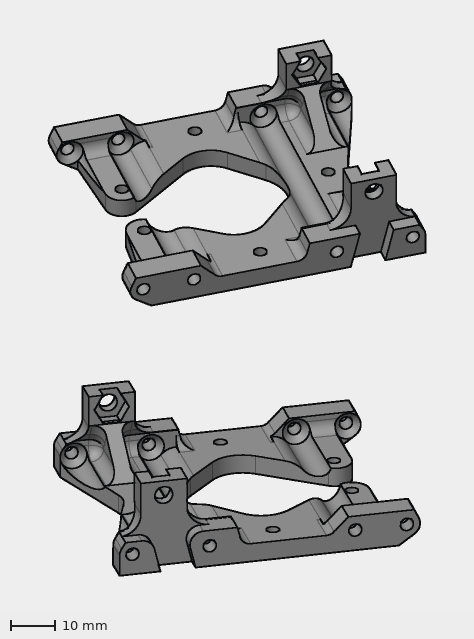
import cadquery as cq
import math

length = 70.0
width = 60.0
half_width = width / 2
height = 20.85
plate_top = 4.5
margin = 0.7

pin_z = 5.05
pin_hole_d = 3.0
nose_pin_y = 3.1
front_pin_y = 15.1
middle_pin_y = 49.0
rear_pin_y = 67.0
tower_pin_y = 58.85
tower_pin_z = 17.35
tower_hole_d = 4.1
pin_groove_r = 3.15

wall_inner = 23.9
wall_fillet = 2.8
lean_start_z = 8.7
lean_bend = (22.25, 10.8)
front_rail_top = 8.55
front_rail_top_rear = 16.7
rail_top = 8.9
rail_top_front = 42.55
rail_foot_front = 41.4
rail_end_fillet = 2.5
nose_top_front = 1.3
nose_bottom_front = 5.0
groove_blend_r = 5.0

recess_floor = 26.65
recess_front_foot = 52.3
recess_front_top = 54.45
recess_rear_foot = 60.45
recess_rear_top = 62.4
recess_corner_r = 3.1
tab_top = 8.1
tab_top_rear = 68.6

tower_front = 53.4
tower_rear = 64.2
tower_inner = 20.8
tower_flare_r = 5.0
rib_front = 56.9
rib_rear = 60.75
rib_foot = 7.85
rib_top_z = 13.6
nut_flats = 7.0
nut_lip_end = 21.3

opening_apex = (0.0, 51.15)
opening_side = (18.75, 32.4)
prong_tip = (0.55, 6.8)
prong_root = (wall_inner, 5.05)
opening_apex_r = 10.0
opening_side_r = 8.0
prong_tip_r = 4.0
rear_notch_apex_y = 61.1
rear_notch_r = 7.0
plate_holes = [(0.0, 56.6), (-wall_inner, 32.75), (wall_inner, 32.75), (-8.2, 10.35), (8.2, 10.35)]


def prism_y(points, y_from, y_to):
    """Polygon of (x, z) points extruded along Y."""
    plane = cq.Plane(origin=(0, y_from, 0), xDir=(1, 0, 0), normal=(0, -1, 0))
    return cq.Workplane(plane).polyline(points).close().extrude(y_from - y_to)


def mirrored_points(points):
    """Close an outline from its +X half by adding the mirrored points in reverse order."""
    left = [(-x, v) for x, v in reversed(points) if x > 0]
    return points + left


def rod_x(y, z, radius, half_length):
    """Cylinder along X, centred on the centre plane."""
    return cq.Workplane("YZ").center(y, z).circle(radius).extrude(half_length, both=True)


def fillet_at(body, radius, *points):
    """Round the edge nearest to each of the given points."""
    for point in points:
        body = body.edges(cq.selectors.NearestToPointSelector(point)).fillet(radius)
    return body


def tangent_point(centre, radius, outside, side):
    """Touching point of a line from an outside point to a circle; side is +1 or -1."""
    dy = outside[0] - centre[0]
    dz = outside[1] - centre[1]
    angle = math.atan2(dz, dy) + side * math.acos(radius / math.hypot(dy, dz))
    return (centre[0] + radius * math.cos(angle), centre[1] + radius * math.sin(angle))


def rail_block(x_from, x_to):
    """Low wall from the nose to the recess: raised front, low middle, raised rear."""
    nose_centre = (nose_pin_y, pin_z)
    upper = tangent_point(nose_centre, nose_pin_y, (nose_top_front, front_rail_top), 1)
    lower = tangent_point(nose_centre, nose_pin_y, (nose_bottom_front, 0), -1)
    ramp_foot = front_rail_top_rear + front_rail_top - plate_top
    block = (
        cq.Workplane("YZ").workplane(offset=x_from)
        .moveTo(nose_bottom_front, 0)
        .lineTo(*lower)
        .threePointArc((0, pin_z), upper)
        .lineTo(nose_top_front, front_rail_top)
        .lineTo(front_rail_top_rear, front_rail_top)
        .lineTo(ramp_foot, plate_top)
        .lineTo(rail_foot_front, plate_top)
        .lineTo(rail_top_front, rail_top)
        .lineTo(recess_front_top, rail_top)
        .lineTo(recess_front_foot, 0)
        .close()
        .extrude(x_to - x_from)
    )
    middle = (x_from + x_to) / 2
    return fillet_at(
        block, rail_end_fillet, (middle, ramp_foot, plate_top), (middle, rail_foot_front, plate_top)
    )


def rear_tab(x_from, x_to):
    """Wall piece behind the recess with its upper rear corner rounded about the rear pin."""
    round_centre = (rear_pin_y, pin_z)
    upper = tangent_point(round_centre, length - rear_pin_y, (tab_top_rear, tab_top), -1)
    half_angle = math.atan2(upper[1] - pin_z, upper[0] - rear_pin_y) / 2
    arc_middle = (
        rear_pin_y + (length - rear_pin_y) * math.cos(half_angle),
        pin_z + (length - rear_pin_y) * math.sin(half_angle),
    )
    return (
        cq.Workplane("YZ").workplane(offset=x_from)
        .moveTo(recess_rear_foot, 0)
        .lineTo(length, 0)
        .lineTo(length, pin_z)
        .threePointArc(arc_middle, upper)
        .lineTo(tab_top_rear, tab_top)
        .lineTo(recess_rear_top, tab_top)
        .close()
        .extrude(x_to - x_from)
    )


def tower_block():
    """Tower with concave flares running out on the rail in front and on the tab behind."""
    front_centre = (tower_front - tower_flare_r, rail_top + tower_flare_r)
    rear_centre = (tower_rear + tower_flare_r, tab_top + tower_flare_r)
    rear_end_angle = -math.acos((tab_top_rear - rear_centre[0]) / tower_flare_r)
    rear_middle_angle = (rear_end_angle - math.pi) / 2

    def on_flare(centre, angle):
        return (centre[0] + tower_flare_r * math.cos(angle), centre[1] + tower_flare_r * math.sin(angle))

    return (
        cq.Workplane("YZ")
        .moveTo(front_centre[0], 0)
        .lineTo(front_centre[0], rail_top)
        .threePointArc(on_flare(front_centre, -math.pi / 4), (tower_front, front_centre[1]))
        .lineTo(tower_front, height)
        .lineTo(tower_rear, height)
        .lineTo(tower_rear, rear_centre[1])
        .threePointArc(on_flare(rear_centre, rear_middle_angle), on_flare(rear_centre, rear_end_angle))
        .lineTo(tab_top_rear, 0)
        .close()
        .extrude(recess_floor, both=True)
    )


def outer_wall(side):
    """Rail and tab outboard of the recess floor; side is -1 or +1."""
    x_from, x_to = sorted((side * recess_floor, side * half_width))
    rail = rail_block(x_from, x_to)
    tab = rear_tab(x_from, x_to)
    if side < 0:
        middle = (x_from + x_to) / 2
        rail = fillet_at(rail, recess_corner_r, (middle, recess_front_top, rail_top))
        tab = fillet_at(tab, recess_corner_r, (middle, recess_rear_top, tab_top))
    return rail.union(tab)


body = rail_block(-recess_floor, recess_floor)
body = body.union(rear_tab(-recess_floor, recess_floor)).union(tower_block())
for side in (-1, 1):
    body = body.union(outer_wall(side))


lean = (lean_bend[0] - tower_inner) / (rib_top_z - lean_bend[1])


def hollow(rib_face, far_end):
    """Space above the plate on one side of the ribs, rounded along the floor and the rib face."""
    top_x = lean_bend[0] - lean * (height - lean_bend[1])
    outline = mirrored_points(
        [(wall_inner, plate_top), (wall_inner, lean_start_z), lean_bend, (top_x, height)]
    )
    space = prism_y(outline, min(rib_face, far_end), max(rib_face, far_end))
    rib_side = ">Y" if rib_face > far_end else "<Y"
    floor_edges = space.edges("|Y").edges("<Z")
    rib_edges = space.faces(rib_side).edges("not >Z")
    return space.newObject(floor_edges.vals() + rib_edges.vals()).fillet(wall_fillet)


above_ribs = prism_y(
    mirrored_points([(rib_foot, plate_top), (tower_inner, rib_top_z), (tower_inner, height)]),
    -margin, length + margin,
)
body = body.cut(hollow(rib_front, -margin)).cut(hollow(rib_rear, length + margin)).cut(above_ribs)


def groove_blend(pin_y, direction):
    """Rounded run-out from the plate into a pin groove, towards +Y or -Y by direction."""
    reach = pin_groove_r + groove_blend_r
    drop = groove_blend_r + pin_z - plate_top
    run = math.sqrt(reach**2 - drop**2)
    centre = (pin_y + direction * run, plate_top - groove_blend_r)
    share = pin_groove_r / reach
    groove_end = (pin_y + direction * run * share, pin_z - drop * share)
    half_angle = (math.pi / 2 - math.asin(drop / reach)) / 2
    arc_middle = (
        centre[0] - direction * groove_blend_r * math.sin(half_angle),
        centre[1] + groove_blend_r * math.cos(half_angle),
    )
    blend_top = plate_top + wall_fillet
    return (
        cq.Workplane("YZ")
        .moveTo(centre[0], plate_top)
        .threePointArc(arc_middle, groove_end)
        .lineTo(groove_end[0], blend_top)
        .lineTo(centre[0], blend_top)
        .close()
        .extrude(wall_inner, both=True)
    )


body = body.cut(groove_blend(middle_pin_y, -1)).cut(groove_blend(front_pin_y, 1))

countersink_depth = pin_groove_r - pin_hole_d / 2
for pin_y in (nose_pin_y, front_pin_y, middle_pin_y, rear_pin_y):
    body = body.cut(rod_x(pin_y, pin_z, pin_groove_r, wall_inner))
    body = body.cut(rod_x(pin_y, pin_z, pin_hole_d / 2, half_width + margin))
    for side in (-1, 1):
        cone = cq.Solid.makeCone(
            pin_groove_r, pin_hole_d / 2, countersink_depth,
            pnt=cq.Vector(side * wall_inner, pin_y, pin_z), dir=cq.Vector(side, 0, 0),
        )
        body = body.cut(cq.Workplane(cone))

nut_corners_d = nut_flats / math.cos(math.pi / 6)
body = body.cut(rod_x(tower_pin_y, tower_pin_z, tower_hole_d / 2, half_width + margin))
nut_pockets = (
    cq.Workplane("YZ").center(tower_pin_y, tower_pin_z)
    .polygon(6, nut_corners_d).extrude(wall_inner, both=True)
)
body = body.cut(nut_pockets)

rib_slope = (rib_top_z - plate_top) / (tower_inner - rib_foot)
nut_floor = tower_pin_z - nut_flats / 2
nut_lip_top = nut_lip_end + (nut_floor - rib_top_z) / rib_slope
for side in (-1, 1):
    lip = [
        (side * tower_inner, nut_floor),
        (side * tower_inner, rib_top_z),
        (side * nut_lip_end, rib_top_z),
        (side * nut_lip_top, nut_floor),
    ]
    body = body.cut(prism_y(lip, rib_front, rib_rear))


def through_plate(half_outline):
    """Cutter through the full height from the +X half of its outline."""
    return cq.Workplane("XY").polyline(mirrored_points(half_outline)).close().extrude(height)


opening = through_plate([opening_apex, opening_side, prong_tip, prong_root, (wall_inner, -margin)])
middle_z = height / 2
opening = fillet_at(opening, opening_apex_r, (*opening_apex, middle_z))
for corner, radius in ((opening_side, opening_side_r), (prong_tip, prong_tip_r)):
    for side in (-1, 1):
        opening = fillet_at(opening, radius, (side * corner[0], corner[1], middle_z))

rear_notch = through_plate([(0.0, rear_notch_apex_y), (wall_inner, length), (wall_inner, length + margin)])
rear_notch = fillet_at(rear_notch, rear_notch_r, (0, rear_notch_apex_y, middle_z))

holes = cq.Workplane("XY").pushPoints(plate_holes).circle(pin_hole_d / 2).extrude(plate_top)

result = body.cut(opening).cut(rear_notch).cut(holes)